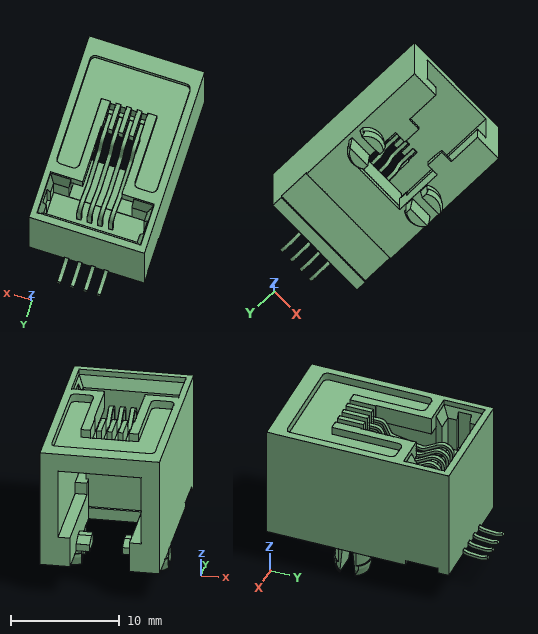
import cadquery as cq
import math

WIDTH = 11.18
LENGTH = 18.06
HEIGHT = 11.5

CAVITY_HALF = 3.88
CAVITY_FLOOR = 2.95
CAVITY_TOP = 9.76
CAVITY_END = 13.35
LEDGE_START = 9.05
LEDGE_TOP = 4.1
CHANNEL_HALF = 2.77
BLOCK_FRONT = 9.93
BLOCK_HALF = 3.05
BLOCK_TOP = 6.53
GROOVE_BOTTOM = 1.15
GROOVE_TOP = 1.27
GROOVE_DEPTH = 0.41

CHAMBER_HALF = 4.52
CHAMBER_FRONT = 13.93
CHAMBER_REAR = 16.9
CHAMBER_FLOOR = 6.43
MOUTH_HALF = 5.0
MOUTH_FRONT = CAVITY_END
MOUTH_REAR = 17.4
TAPER_BOTTOM = 9.9
TAPER_TOP = 10.97
KEYWAY_HALF = 4.85
KEYWAY_FRONT = 14.84
KEYWAY_REAR = 16.11

CONTACT_COUNT = 4
LEAD_PITCH = 1.27
CONTACT_PITCH = 0.8 * LEAD_PITCH
CONTACT_WIDTH = 0.41
CONTACT_THICKNESS = 0.27
CONTACT_END = 6.16
CONTACT_LEG_Y = 15.54
CONTACT_SLOPE_TOP_Y = 8.75
CONTACT_SLOPE_FOOT = (9.43, 8.73)
CONTACT_VALLEY = (12.75, 8.12)
CONTACT_ARCH_CORNER_Z = 9.75
CONTACT_BEND_RADII = (0.58, 0.47, 0.78, 0.85)
WINDOW_HALF = 1.9
COMB_REAR = 7.87
COMB_FRONT = 5.32
SLOT_WIDTH = 0.55
SLOT_FLOOR = 10.0
SLOT_FLOOR_REAR = 6.78
SLOT_RAMP_START = 5.71

RECESS_HALF = 4.83
RECESS_FRONT = 1.6
RECESS_REAR = 12.37
RECESS_INNER_HALF = 2.7
RECESS_DEPTH = 0.78
RECESS_RADIUS = 0.5
RECESS_FLOOR = HEIGHT - RECESS_DEPTH

NOTCH_FRONT = 13.75
NOTCH_REAR = 16.97
NOTCH_HEIGHT = 0.51

TAB_INNER = 1.52
TAB_FRONT = 3.35
TAB_RAMP_END = 4.35
TAB_REAR = 5.14
TAB_NOSE = 0.7

LEAD_WIDTH = 0.41
LEAD_THICKNESS = 0.33
WALL_OVERLAP = 0.2
LEAD_ROOT = (LENGTH - WALL_OVERLAP, 0.37)
LEAD_BENDS = ((18.45, 0.1), (19.91, -0.02))
LEAD_TIP = (20.49, 0.2)
LEAD_BEND_RADII = (1.23, 1.23)

PEG_X = 3.78
PEG_Y = 7.85
PEG_INNER_FLAT = 2.84
PEG_OUTER_FLAT = 5.18
PEG_LENGTH = 3.0
SHAFT_LENGTH = 1.79
LIP_BOTTOM = 2.18
SHAFT_RADIUS = 1.65
LIP_RADIUS = 1.77
TIP_RADIUS = 1.56
SLIT_TOP_HALF = 0.5
SLIT_BOTTOM_HALF = 0.76


def block(x_range, y_range, z_range):
    """Axis-aligned box given by its limits along X, Y and Z."""
    (x0, x1), (y0, y1), (z0, z1) = x_range, y_range, z_range
    return cq.Workplane("XY").box(x1 - x0, y1 - y0, z1 - z0, centered=False).translate((x0, y0, z0))


def centred_block(half, y_range, z_range):
    return block((-half, half), y_range, z_range)


def row_positions(pitch):
    """X positions of one row of contacts or leads, centred on X = 0."""
    return [(i - (CONTACT_COUNT - 1) / 2) * pitch for i in range(CONTACT_COUNT)]


def plug_cavity():
    entry = centred_block(CAVITY_HALF, (0, LEDGE_START), (CAVITY_FLOOR, CAVITY_TOP))
    upper = centred_block(CAVITY_HALF, (0, CAVITY_END), (LEDGE_TOP, CAVITY_TOP))
    centre = centred_block(BLOCK_HALF, (BLOCK_FRONT, CAVITY_END), (LEDGE_TOP, BLOCK_TOP))
    channel = centred_block(CHANNEL_HALF, (0, BLOCK_FRONT), (0, LEDGE_TOP))
    groove = centred_block(
        CHANNEL_HALF, (BLOCK_FRONT, BLOCK_FRONT + GROOVE_DEPTH), (GROOVE_BOTTOM, GROOVE_TOP)
    )
    return upper.cut(centre).union(entry).union(channel).union(groove)


def rear_chamber():
    well = centred_block(CHAMBER_HALF, (CHAMBER_FRONT, CHAMBER_REAR), (CHAMBER_FLOOR, TAPER_BOTTOM))
    mouth = centred_block(MOUTH_HALF, (MOUTH_FRONT, MOUTH_REAR), (TAPER_TOP, HEIGHT))
    taper = (
        cq.Workplane("XY", origin=(0, (CHAMBER_FRONT + CHAMBER_REAR) / 2, TAPER_BOTTOM))
        .rect(2 * CHAMBER_HALF, CHAMBER_REAR - CHAMBER_FRONT)
        .workplane(offset=TAPER_TOP - TAPER_BOTTOM)
        .center(0, (MOUTH_FRONT + MOUTH_REAR - CHAMBER_FRONT - CHAMBER_REAR) / 2)
        .rect(2 * MOUTH_HALF, MOUTH_REAR - MOUTH_FRONT)
        .loft()
    )
    keyways = centred_block(KEYWAY_HALF, (KEYWAY_FRONT, KEYWAY_REAR), (BLOCK_TOP, TAPER_TOP))
    throat = centred_block(BLOCK_HALF, (CAVITY_END, CHAMBER_FRONT), (BLOCK_TOP, HEIGHT))
    return well.union(taper).union(mouth).union(keyways).union(throat)


def top_recess():
    outer = centred_block(RECESS_HALF, (RECESS_FRONT, RECESS_REAR), (RECESS_FLOOR, HEIGHT))
    inner = centred_block(RECESS_INNER_HALF, (COMB_FRONT, RECESS_REAR), (RECESS_FLOOR, HEIGHT))
    return outer.cut(inner).edges("|Z").edges(">Y or <Y").fillet(RECESS_RADIUS)


def comb_slot(x):
    """Slot with a flat floor, open below at its rear and ramped up to the recess at its front."""
    return (
        cq.Workplane("YZ", origin=(x, 0, 0))
        .moveTo(COMB_REAR, CAVITY_TOP)
        .lineTo(COMB_REAR, HEIGHT)
        .lineTo(COMB_FRONT, HEIGHT)
        .lineTo(COMB_FRONT, RECESS_FLOOR)
        .lineTo(SLOT_RAMP_START, SLOT_FLOOR)
        .lineTo(SLOT_FLOOR_REAR, SLOT_FLOOR)
        .lineTo(SLOT_FLOOR_REAR, CAVITY_TOP)
        .close()
        .extrude(SLOT_WIDTH / 2, both=True)
    )


def latch_tab():
    """Wedge-nosed tab on the +X wall of the bottom channel."""
    return (
        cq.Workplane("YZ", origin=(TAB_INNER, 0, 0))
        .moveTo(TAB_FRONT, 0)
        .lineTo(TAB_FRONT, TAB_NOSE)
        .lineTo(TAB_RAMP_END, GROOVE_BOTTOM)
        .lineTo(TAB_REAR, GROOVE_BOTTOM)
        .lineTo(TAB_REAR, 0)
        .close()
        .extrude(CHANNEL_HALF - TAB_INNER)
    )


def offset_polyline(points, distance):
    """Corners of a YZ polyline moved sideways by a distance, with mitred bends."""
    angles = [math.atan2(z1 - z0, y1 - y0) for (y0, z0), (y1, z1) in zip(points, points[1:])]
    moved = []
    for (y, z), before, after in zip(points, angles[:1] + angles, angles + angles[-1:]):
        normal = (before + after) / 2 + math.pi / 2
        reach = distance / math.cos((after - before) / 2)
        moved.append((y + reach * math.cos(normal), z + reach * math.sin(normal)))
    return moved


def turns_up(points, corner):
    """Whether a polyline turns counter-clockwise at one of its inner corners."""
    i = points.index(corner)
    (y0, z0), (y1, z1), (y2, z2) = points[i - 1 : i + 2]
    return (y1 - y0) * (z2 - z1) > (z1 - z0) * (y2 - y1)


def bent_strip(x, width, thickness, points, bend_radii):
    """Flat strip following a YZ polyline, its bends rounded to the given mid-thickness radii."""
    upper = offset_polyline(points, thickness / 2)
    lower = offset_polyline(points, -thickness / 2)
    strip = (
        cq.Workplane("YZ", origin=(x, 0, 0))
        .polyline(upper + lower[::-1])
        .close()
        .extrude(width / 2, both=True)
    )
    for over, middle, under, radius in zip(upper[1:], points[1:], lower[1:], bend_radii):
        inner, outer = (over, under) if turns_up(points, middle) else (under, over)
        for (y, z), edge_radius in (
            (inner, radius - thickness / 2),
            (outer, radius + thickness / 2),
        ):
            strip = strip.edges(cq.NearestToPointSelector((x, y, z))).fillet(edge_radius)
    return strip


def contact(x):
    """Spring strip from the comb slot down into the cavity, then over an arch to the chamber floor."""
    slot_height = SLOT_FLOOR + CONTACT_THICKNESS / 2
    corners = [
        (CONTACT_END, slot_height),
        (CONTACT_SLOPE_TOP_Y, slot_height),
        CONTACT_SLOPE_FOOT,
        CONTACT_VALLEY,
        (CONTACT_LEG_Y, CONTACT_ARCH_CORNER_Z),
        (CONTACT_LEG_Y, CHAMBER_FLOOR - CONTACT_THICKNESS),
    ]
    return bent_strip(x, CONTACT_WIDTH, CONTACT_THICKNESS, corners, CONTACT_BEND_RADII)


def lead(x):
    """Solder tail leaving the rear face, bent down to board level and up again at its tip."""
    corners = [LEAD_ROOT, *LEAD_BENDS, LEAD_TIP]
    return bent_strip(x, LEAD_WIDTH, LEAD_THICKNESS, corners, LEAD_BEND_RADII)


def peg():
    """+X snap peg: round with a lipped, tapered head, flattened on two sides and split across X."""
    turned = (
        cq.Workplane("XZ", origin=(PEG_X, PEG_Y, 0))
        .moveTo(0, 0)
        .lineTo(SHAFT_RADIUS, 0)
        .lineTo(SHAFT_RADIUS, -SHAFT_LENGTH)
        .lineTo(LIP_RADIUS, -SHAFT_LENGTH)
        .lineTo(LIP_RADIUS, -LIP_BOTTOM)
        .lineTo(TIP_RADIUS, -PEG_LENGTH)
        .lineTo(0, -PEG_LENGTH)
        .close()
        .revolve(360, (0, 0, 0), (0, 1, 0))
    )
    flats = block(
        (PEG_INNER_FLAT, PEG_OUTER_FLAT),
        (PEG_Y - LIP_RADIUS, PEG_Y + LIP_RADIUS),
        (-PEG_LENGTH, 0),
    )
    slit = (
        cq.Workplane("YZ", origin=(PEG_INNER_FLAT, PEG_Y, 0))
        .moveTo(-SLIT_TOP_HALF, 0)
        .lineTo(SLIT_TOP_HALF, 0)
        .lineTo(SLIT_BOTTOM_HALF, -PEG_LENGTH)
        .lineTo(-SLIT_BOTTOM_HALF, -PEG_LENGTH)
        .close()
        .extrude(PEG_OUTER_FLAT - PEG_INNER_FLAT)
    )
    return turned.intersect(flats).cut(slit)


housing = centred_block(WIDTH / 2, (0, LENGTH), (0, HEIGHT))
housing = housing.cut(plug_cavity())
housing = housing.cut(rear_chamber())
housing = housing.cut(top_recess())
housing = housing.cut(centred_block(WINDOW_HALF, (COMB_REAR, CAVITY_END), (CAVITY_TOP, HEIGHT)))
housing = housing.cut(centred_block(WIDTH / 2, (NOTCH_FRONT, NOTCH_REAR), (0, NOTCH_HEIGHT)))
for slot_x in row_positions(CONTACT_PITCH):
    housing = housing.cut(comb_slot(slot_x))

result = housing
for right_hand_part in (latch_tab(), peg()):
    result = result.union(right_hand_part).union(right_hand_part.mirror("YZ"))
for contact_x in row_positions(CONTACT_PITCH):
    result = result.union(contact(contact_x))
for lead_x in row_positions(LEAD_PITCH):
    result = result.union(lead(lead_x))